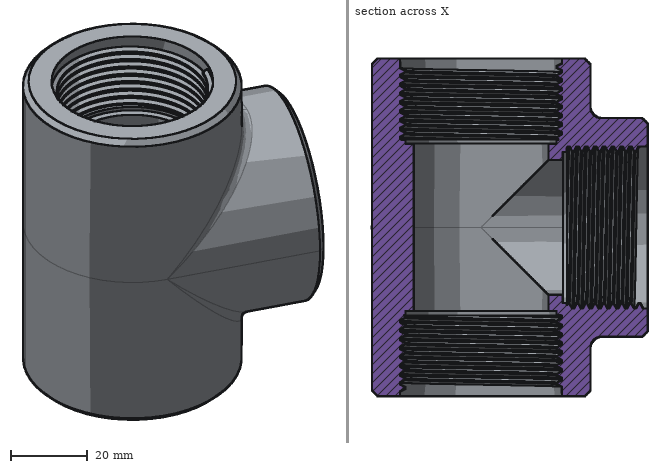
import cadquery as cq
import math

run_length = 88.0
body_diameter = 57.0
branch_reach = 43.5
end_chamfer = 1.5
crotch_fillet = 3.0

passage_diameter = 35.0
socket_depth = 22.2
thread_major_radius = 21.0
thread_minor_radius = 19.7
thread_pitch = 2.31
thread_angle = 55
ridge_crest_width = 0.4
ridge_start_depth = 2.2
ridge_start_angle = 93
land_height = 1.1
land_lip = 0.1
ridge_embed = 0.2
lining_wall = 0.5

body_radius = body_diameter / 2
passage_radius = passage_diameter / 2
half_run = run_length / 2
land_radius = thread_minor_radius - land_lip
lining_radius = thread_major_radius + lining_wall


def plug(radius, depth):
    """Cylinder that reaches down from Z = 0."""
    return cq.Workplane("XY").circle(radius).extrude(-depth)


def at_top(shape):
    """Move a shape that opens upward at Z = 0 to the upper end of the run."""
    return shape.translate((0, 0, half_run))


def at_bottom(shape):
    """Turn a shape that opens upward at Z = 0 over to the lower end of the run."""
    return at_top(shape).rotate((0, 0, 0), (1, 0, 0), 180)


def at_branch(shape):
    """Turn a shape that opens upward at Z = 0 to the end of the branch."""
    return shape.rotate((0, 0, 0), (1, 0, 0), -90).translate((0, branch_reach, 0))


def tee_quarter():
    """The +X, +Z quarter of the tee, bored through."""
    run = at_top(plug(body_radius, run_length)).edges("%CIRCLE").chamfer(end_chamfer)
    branch = at_branch(plug(body_radius, branch_reach)).faces(">Y").edges().chamfer(end_chamfer)
    quadrant = cq.Workplane("XY").box(run_length, 2 * run_length, run_length, centered=(False, True, False))
    quarter = run.union(branch).intersect(quadrant)
    quarter = quarter.edges("%ELLIPSE").fillet(crotch_fillet)

    quarter = quarter.cut(at_top(plug(passage_radius, run_length)))
    return quarter.cut(at_branch(plug(passage_radius, branch_reach)))


def plain_tee():
    """Whole tee, bored through, without sockets."""
    quarter = tee_quarter()
    upper_half = quarter.union(quarter.mirror("YZ"))
    return upper_half.union(upper_half.mirror("XY"))


def thread_ridge():
    """Right-hand helical ridge that winds down from the mouth of a socket into its floor."""
    root_radius = thread_major_radius + ridge_embed
    flank_slope = math.tan(math.radians(thread_angle / 2))
    crest_half = ridge_crest_width / 2
    root_half = crest_half + (root_radius - thread_minor_radius) * flank_slope
    helix_height = socket_depth - ridge_start_depth
    helix = cq.Wire.makeHelix(thread_pitch, helix_height, thread_major_radius)
    profile = (
        cq.Workplane("XZ")
        .moveTo(root_radius, -root_half)
        .lineTo(thread_minor_radius, -crest_half)
        .lineTo(thread_minor_radius, crest_half)
        .lineTo(root_radius, root_half)
        .close()
    )
    ridge = profile.sweep(cq.Workplane(helix), isFrenet=True)
    ridge = ridge.rotate((0, 0, 0), (1, 0, 0), 180)
    ridge = ridge.rotate((0, 0, 0), (0, 0, 1), ridge_start_angle)
    return ridge.translate((0, 0, -ridge_start_depth))


def socket_cavity():
    """Hollow of one threaded socket that opens upward at Z = 0."""
    wall = plug(lining_radius, socket_depth).cut(plug(thread_major_radius, socket_depth))
    wall = wall.rotate((0, 0, 0), (0, 0, 1), 180)
    land = plug(lining_radius, land_height).cut(plug(land_radius, land_height))
    land = land.translate((0, 0, land_height - socket_depth))
    lining = wall.union(thread_ridge()).union(land)
    return plug(lining_radius, socket_depth).cut(lining)


cavity = socket_cavity()
result = plain_tee()
for place in (at_top, at_bottom, at_branch):
    result = result.cut(place(cavity))